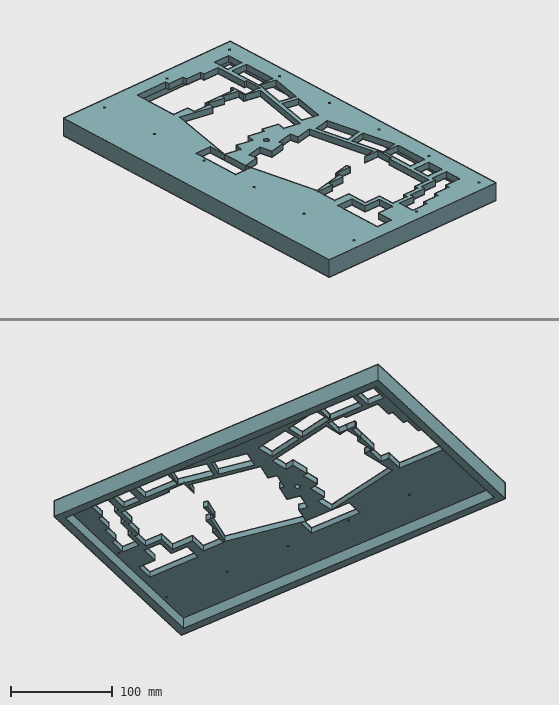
import cadquery as cq

CASE_WIDTH = 383.66
CASE_DEPTH = 224.1
CASE_HEIGHT = 20.0
PLATE_THICKNESS = 7.0
WALL_THICKNESS = 8.0

KEY = 19.05
LEFT_MARGIN = 16.1
RIGHT_MARGIN = 16.05
TOP_MARGIN = 20.77
FUNCTION_ROW_STEP = 1.25 * KEY
STAGGER = 0.25 * KEY
TILT = 12.0

LEFT_EDGE = -CASE_WIDTH / 2 + LEFT_MARGIN
RIGHT_EDGE = CASE_WIDTH / 2 - RIGHT_MARGIN
FUNCTION_ROW_TOP = CASE_DEPTH / 2 - TOP_MARGIN
NUMBER_ROW_TOP = FUNCTION_ROW_TOP - FUNCTION_ROW_STEP

LEFT_BLOCK_X = LEFT_EDGE + 3 * STAGGER
NAVIGATION_X = RIGHT_EDGE - 7 * STAGGER
RIGHT_BLOCK_X = NAVIGATION_X - 4 * KEY
ARROW_TOP = FUNCTION_ROW_TOP - 4.5 * KEY
ARROW_X = RIGHT_EDGE - 3 * KEY

NUMBER_KEY_RAISE = 2.8
FUNCTION_KEY_RAISE = 0.95

LEFT_CLUSTER_CORNER = (-100.2, 67.2)
RIGHT_CLUSTER_CORNER = (-11.25, 50.2)

LEFT_BLOCK_ROWS = [(0, 2), (-0.25, 2.25), (-0.5, 2.25), (-0.75, 2.5), (-0.75, 2)]
RIGHT_BLOCK_ROWS = [(0, 4), (0, 4.25), (0.25, 4.5), (0.75, 3.5), (1, 2.25)]
LEFT_CLUSTER_ROWS = [(0, 4), (-0.5, 3.5), (-0.25, 3.75), (0.25, 4.25), (0.25, 4.75)]
RIGHT_CLUSTER_ROWS = [(0, 4), (-0.5, 4), (-0.25, 3.75), (-1, 4), (-0.5, 4)]
NAVIGATION_ROWS = [(0, 1), (0.25, 1.25), (0.5, 1.5), (0.75, 1.75)]
ARROW_ROWS = [(1, 2), (0, 3)]

FUNCTION_KEY_ROWS = [(0, 2)]
SINGLE_KEY_ROWS = [(0, 1)]
TILTED_FUNCTION_KEYS = 2
FUNCTION_KEY_STEP = 2.25 * KEY
LEFT_FUNCTION_OFFSET = -2 * STAGGER
RIGHT_FUNCTION_OFFSET = STAGGER
ESCAPE_KEY_SHIFT = 10.4
RIGHT_FUNCTION_SHIFT = 5.6
RIGHT_SINGLE_SHIFT = 50.7
ESCAPE_KEY_X = LEFT_BLOCK_X - ESCAPE_KEY_SHIFT
RIGHT_FUNCTION_X = RIGHT_BLOCK_X + RIGHT_FUNCTION_SHIFT
RIGHT_SINGLE_X = RIGHT_BLOCK_X + RIGHT_SINGLE_SHIFT

SPACE_BAR_ROWS = [(0, 3)]
SPACE_BAR_CORNER = (-51.9, -45.0)

CENTER_HOLE_DIAMETER = 5.6
CENTER_HOLE_POSITION = (-23.9, 4.4)

SCREW_DIAMETER = 2.0
SCREW_INSET = 12.0
SCREW_COLUMNS = 6
SCREW_ROW_STEP = 84.0


def staircase_outline(rows):
    """Outline of stacked key rows, with the top left of the first row at the origin."""
    left = []
    right = []
    for index, (start, end) in enumerate(rows):
        for edge, position in ((left, start), (right, end)):
            x = position * KEY
            if edge and edge[-1][0] == x:
                edge.pop()
            else:
                edge.append((x, -index * KEY))
            edge.append((x, -(index + 1) * KEY))
    return left + right[::-1]


def key_opening(rows, corner, tilt=0.0, offset=(0.0, 0.0)):
    """Cutter for key rows, shifted by offset in a frame turned by tilt about corner."""
    cutter = cq.Workplane("XY").polyline(staircase_outline(rows)).close().extrude(CASE_HEIGHT)
    cutter = cutter.translate((offset[0], offset[1], 0))
    cutter = cutter.rotate((0, 0, 0), (0, 0, 1), tilt)
    return cutter.translate((corner[0], corner[1], 0))


def case_body():
    body = cq.Workplane("XY").box(CASE_WIDTH, CASE_DEPTH, CASE_HEIGHT, centered=(True, True, False))
    cavity = cq.Workplane("XY").box(
        CASE_WIDTH - 2 * WALL_THICKNESS,
        CASE_DEPTH - 2 * WALL_THICKNESS,
        CASE_HEIGHT - PLATE_THICKNESS,
        centered=(True, True, False),
    )
    return body.cut(cavity)


def straight_openings():
    raised_number_y = NUMBER_ROW_TOP + NUMBER_KEY_RAISE
    raised_function_y = FUNCTION_ROW_TOP + FUNCTION_KEY_RAISE
    return [
        key_opening(LEFT_BLOCK_ROWS, (LEFT_BLOCK_X, NUMBER_ROW_TOP)),
        key_opening(SINGLE_KEY_ROWS, (LEFT_BLOCK_X + 2 * KEY, raised_number_y)),
        key_opening(SINGLE_KEY_ROWS, (ESCAPE_KEY_X, FUNCTION_ROW_TOP)),
        key_opening(FUNCTION_KEY_ROWS, (LEFT_BLOCK_X + 3 * STAGGER, raised_function_y)),
        key_opening(RIGHT_BLOCK_ROWS, (RIGHT_BLOCK_X, NUMBER_ROW_TOP)),
        key_opening(SINGLE_KEY_ROWS, (RIGHT_BLOCK_X, raised_number_y)),
        key_opening(FUNCTION_KEY_ROWS, (RIGHT_FUNCTION_X, raised_function_y)),
        key_opening(SINGLE_KEY_ROWS, (RIGHT_SINGLE_X, FUNCTION_ROW_TOP)),
        key_opening(NAVIGATION_ROWS, (NAVIGATION_X, FUNCTION_ROW_TOP)),
        key_opening(ARROW_ROWS, (ARROW_X, ARROW_TOP)),
        key_opening(SPACE_BAR_ROWS, SPACE_BAR_CORNER),
    ]


def tilted_openings(rows, corner, tilt, function_offset):
    openings = [key_opening(rows, corner, tilt)]
    for index in range(TILTED_FUNCTION_KEYS):
        offset = (function_offset + index * FUNCTION_KEY_STEP, FUNCTION_ROW_STEP)
        openings.append(key_opening(FUNCTION_KEY_ROWS, corner, tilt, offset))
    return openings


def screw_points():
    first_x = -CASE_WIDTH / 2 + SCREW_INSET
    step_x = (CASE_WIDTH - 2 * SCREW_INSET) / (SCREW_COLUMNS - 1)
    top_y = CASE_DEPTH / 2 - SCREW_INSET
    points = []
    for column in range(SCREW_COLUMNS):
        x = first_x + column * step_x
        points.append((x, top_y))
        points.append((x, top_y - 2 * SCREW_ROW_STEP))
        if column in (0, SCREW_COLUMNS - 1):
            points.append((x, top_y - SCREW_ROW_STEP))
    return points


def screw_holes():
    return cq.Workplane("XY").pushPoints(screw_points()).circle(SCREW_DIAMETER / 2).extrude(CASE_HEIGHT)


def center_hole():
    hole = cq.Workplane("XY").center(*CENTER_HOLE_POSITION).circle(CENTER_HOLE_DIAMETER / 2)
    return hole.extrude(CASE_HEIGHT)


cutters = straight_openings()
cutters += tilted_openings(LEFT_CLUSTER_ROWS, LEFT_CLUSTER_CORNER, -TILT, LEFT_FUNCTION_OFFSET)
cutters += tilted_openings(RIGHT_CLUSTER_ROWS, RIGHT_CLUSTER_CORNER, TILT, RIGHT_FUNCTION_OFFSET)
cutters += [screw_holes(), center_hole()]

result = case_body()
for cutter in cutters:
    result = result.cut(cutter)